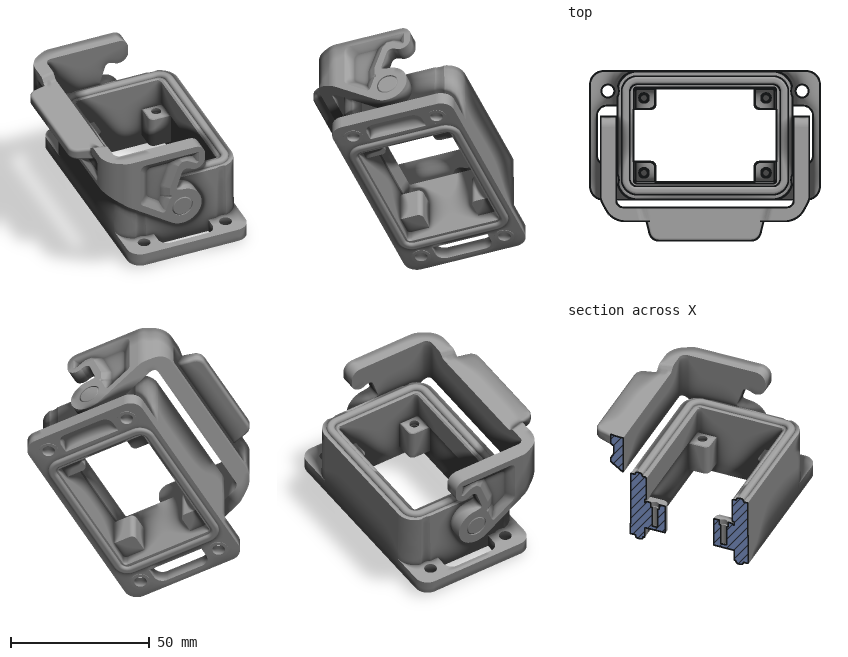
import cadquery as cq
import math

flange_length = 83.0
flange_width = 46.5
flange_thickness = 5.0
flange_corner_radius = 5.0
screw_x = 35.0
screw_y = 16.0
screw_hole_diameter = 4.6
screw_pad_diameter = 7.0
screw_pad_height = 0.15
screw_head_clearance_diameter = 8.0
slot_outer_x = 38.9
slot_width = 21.4
slot_corner_radius = 3.5

body_length = 63.4
body_height = 27.1
body_corner_radius = 7.2
draft_angle = 0.5

ring_height = 1.25
ring_width = 3.0
ring_corner_radius = 5.7
upper_ring_length = 60.2
upper_ring_width = 42.8
lower_ring_length = 59.6
lower_ring_width = 42.4
upper_ring_fillet = 1.2
lower_ring_fillet = 1.0

cavity_length = 51.4
neck_width = 33.5
neck_bottom_z = 17.0
mouth_width = 34.8
mouth_bevel_height = 0.5
cavity_width = 35.0
cavity_corner_radius = 1.2

post_x = 22.0
post_y = 13.5
post_inner_x = 17.8
post_inner_y = 9.4
post_bottom_z = 4.3
post_top_z = 16.3
post_corner_radius = 1.9
post_chamfer = 0.3
post_wall_chamfer = 0.8
post_hole_diameter = 2.7
post_hole_bottom_z = 6.0
post_counterbore_diameter = 3.6
post_counterbore_depth = 2.0

lever_half_width = 37.6
cheek_inner_x = 31.95
lever_top_z = 44.0
lever_front_y = -31.0
lever_wall_inner_y = -25.9
lever_wall_bottom_z = 30.0
lever_inner_corner_radius = 2.4
lever_plan_start_y = -21.9
lever_plan_small_radius = 5.9
lever_plan_large_radius = 8.0
lever_plan_facet_length = 2.45
lever_plan_facet_angle = math.radians(29)
pivot_y = -2.0
pivot_z = 19.0
pivot_boss_radius = 7.5
pin_radius = 4.0
pin_chamfer = 0.5
pin_root_depth = 2.0
hook_center_y = 3.0
hook_radius = 3.85
hook_bottom_z = 34.2

throat_start = (-3.6, 26.8)
throat_corner = (-4.2, 27.2)
throat_bottom = (-4.2, 28.0)
throat_top = (-2.2, 34.2)
catch_corner = (-1.4, 35.1)
catch_top = (-0.1, 35.3)
catch_end = (1.2, 34.9)
catch_lip = (2.0, 34.4)

cheek_pocket_depth = 2.0
cheek_pocket_slope_width = 3.1
cheek_pocket_top_z = 41.4
cheek_pocket_front_y = -18.45
cheek_pocket_nose_y = 4.4
cheek_pocket_corner_radius = 4.0
cheek_pocket_tip_radius = 1.5
front_pocket_depth = 1.25
front_pocket_length = 54.8
front_pocket_height = 8.8
front_pocket_center_z = 35.95
front_pocket_slope_width = 2.25
front_pocket_corner_radius = 1.3

tab_tip_y = -38.0
tab_top_z = 41.95
tab_root_bottom_z = 37.0
tab_tip_bottom_z = 37.9
tab_tip_half_width = 19.4
tab_side_slope = 0.25
tab_corner_radius = 3.6
tab_edge_fillet = 1.0
notch_flank_width = 2.2
notch_inset = 0.3
notch_fillet = 1.6


def rounded_block(length, width, radius, bottom, top):
    block = cq.Workplane("XY").workplane(offset=bottom).rect(length, width).extrude(top - bottom)
    return block.edges("|Z").fillet(radius)


def at_four_corners(x, y):
    return [(sx * x, sy * y) for sx in (-1, 1) for sy in (-1, 1)]


def cylinders(points, diameter, bottom, top):
    plane = cq.Workplane("XY").workplane(offset=bottom)
    return plane.pushPoints(points).circle(diameter / 2).extrude(top - bottom)


def make_flange():
    screws = at_four_corners(screw_x, screw_y)
    flange = rounded_block(flange_length, flange_width, flange_corner_radius, 0, flange_thickness)
    slot = rounded_block(2 * slot_outer_x, slot_width, slot_corner_radius, 0, flange_thickness)
    body_window_length = body_length - 2 * body_corner_radius
    body_window = cq.Workplane("XY").rect(body_window_length, flange_width).extrude(flange_thickness)
    flange = flange.cut(slot).cut(body_window)
    flange = flange.union(cylinders(screws, screw_pad_diameter, -screw_pad_height, flange_thickness))
    return flange.cut(cylinders(screws, screw_hole_diameter, -screw_pad_height, flange_thickness))


def make_body():
    outline = cq.Sketch().rect(body_length, flange_width).vertices().fillet(body_corner_radius)
    body = cq.Workplane("XY").placeSketch(outline).extrude(body_height, taper=draft_angle)
    screws = at_four_corners(screw_x, screw_y)
    return body.cut(cylinders(screws, screw_head_clearance_diameter, 0, body_height))


def make_ring(length, width, bottom):
    top = bottom + ring_height
    outer = rounded_block(length, width, ring_corner_radius, bottom, top)
    inner_radius = ring_corner_radius - ring_width
    inner = rounded_block(length - 2 * ring_width, width - 2 * ring_width, inner_radius, bottom, top)
    return outer.cut(inner)


def make_upper_ring():
    ring = make_ring(upper_ring_length, upper_ring_width, body_height)
    return ring.faces(">Z").edges().fillet(upper_ring_fillet)


def make_lower_ring():
    ring = make_ring(lower_ring_length, lower_ring_width, -ring_height)
    return ring.faces("<Z").edges().fillet(lower_ring_fillet)


def make_cavity():
    def section(width, height):
        sketch = cq.Sketch().rect(cavity_length, width).vertices().fillet(cavity_corner_radius)
        return sketch.moved(cq.Location(cq.Vector(0, 0, height)))

    lower = rounded_block(cavity_length, cavity_width, cavity_corner_radius, 0, neck_bottom_z)
    neck = rounded_block(cavity_length, neck_width, cavity_corner_radius, neck_bottom_z, body_height)
    bevel_start = section(neck_width, body_height - mouth_bevel_height)
    bevel_end = section(mouth_width, body_height)
    bevel = cq.Workplane("XY").placeSketch(bevel_start, bevel_end).loft()
    return lower.union(neck).union(bevel)


def make_post(side_x, side_y):
    outer_x = cavity_length / 2
    outer_y = cavity_width / 2
    height = post_top_z - post_bottom_z
    post = cq.Workplane("XY").box(outer_x - post_inner_x, outer_y - post_inner_y, height, centered=False)
    post = post.translate((post_inner_x, post_inner_y, post_bottom_z))
    post = post.edges("|Z and <X and <Y").fillet(post_corner_radius)
    post = post.edges("|Z and >X and >Y").fillet(cavity_corner_radius)
    post = post.faces(">Z").edges(">X or >Y").chamfer(post_wall_chamfer)
    post = post.faces(">Z").edges("<X or <Y").chamfer(post_chamfer)
    center = [(post_x, post_y)]
    post = post.cut(cylinders(center, post_hole_diameter, post_hole_bottom_z, post_top_z))
    counterbore_bottom = post_top_z - post_counterbore_depth
    post = post.cut(cylinders(center, post_counterbore_diameter, counterbore_bottom, post_top_z))
    if side_x < 0:
        post = post.mirror("YZ")
    if side_y < 0:
        post = post.mirror("XZ")
    return post


def along_x(start_x):
    return cq.Workplane("YZ", origin=(start_x, 0, 0))


def lever_side_profile():
    run = pivot_y - lever_front_y
    rise = lever_wall_bottom_z - pivot_z
    slope = math.atan2(rise, run) + math.asin(pivot_boss_radius / math.hypot(run, rise))
    tangent_y = pivot_y - pivot_boss_radius * math.sin(slope)
    tangent_z = pivot_z - pivot_boss_radius * math.cos(slope)
    boss_top_z = pivot_z + pivot_boss_radius

    nose_y = hook_center_y + hook_radius
    lower_center_z = hook_bottom_z + hook_radius
    upper_center_z = lever_top_z - hook_radius
    diagonal = hook_radius * math.sqrt(0.5)
    nose_mid_y = hook_center_y + diagonal
    return (
        along_x(-lever_half_width)
        .moveTo(lever_front_y, lever_top_z)
        .lineTo(lever_front_y, lever_wall_bottom_z)
        .lineTo(tangent_y, tangent_z)
        .threePointArc((pivot_y + pivot_boss_radius, pivot_z), (pivot_y, boss_top_z))
        .lineTo(*throat_start)
        .threePointArc(throat_corner, throat_bottom)
        .lineTo(*throat_top)
        .threePointArc(catch_corner, catch_top)
        .lineTo(*catch_end)
        .threePointArc(catch_lip, (hook_center_y, hook_bottom_z))
        .threePointArc((nose_mid_y, lower_center_z - diagonal), (nose_y, lower_center_z))
        .lineTo(nose_y, upper_center_z)
        .threePointArc((nose_mid_y, upper_center_z + diagonal), (hook_center_y, lever_top_z))
        .close()
        .extrude(2 * lever_half_width)
    )


def lever_plan_half(side):
    def along_arc(start, radius, start_angle, end_angle):
        x = start[0] - radius * (math.cos(start_angle) - math.cos(end_angle))
        y = start[1] - radius * (math.sin(end_angle) - math.sin(start_angle))
        return (x, y)

    facet = lever_plan_facet_angle
    quarter = math.pi / 2
    start = (lever_half_width, lever_plan_start_y)
    small_mid = along_arc(start, lever_plan_small_radius, 0, facet / 2)
    small_end = along_arc(start, lever_plan_small_radius, 0, facet)
    facet_end_x = small_end[0] - lever_plan_facet_length * math.sin(facet)
    facet_end_y = small_end[1] - lever_plan_facet_length * math.cos(facet)
    facet_end = (facet_end_x, facet_end_y)
    large_mid = along_arc(facet_end, lever_plan_large_radius, facet, (facet + quarter) / 2)
    large_end_x = along_arc(facet_end, lever_plan_large_radius, facet, quarter)[0]
    back_y = hook_center_y + 2 * hook_radius
    half = (
        cq.Workplane("XY")
        .moveTo(0, back_y)
        .lineTo(lever_half_width, back_y)
        .lineTo(*start)
        .threePointArc(small_mid, small_end)
        .lineTo(*facet_end)
        .threePointArc(large_mid, (large_end_x, lever_front_y))
        .lineTo(0, lever_front_y)
        .close()
        .extrude(lever_top_z)
    )
    return half if side > 0 else half.mirror("YZ")


def make_lever_shell():
    plan = lever_plan_half(1).union(lever_plan_half(-1))
    inner_depth = 2 * abs(lever_wall_inner_y)
    inner = cq.Workplane("XY").rect(2 * cheek_inner_x, inner_depth).extrude(lever_top_z)
    inner = inner.edges("|Z").fillet(lever_inner_corner_radius)
    return lever_side_profile().intersect(plan).cut(inner)


def pocket_wall(start, end):
    length = math.hypot(end[0] - start[0], end[1] - start[1])
    direction = cq.Vector(0, (end[0] - start[0]) / length, (end[1] - start[1]) / length)
    depthward = cq.Vector(1, 0, 0)
    inward = depthward.cross(direction)
    corner = cq.Vector(0, *start)
    plane = cq.Plane(origin=corner.toTuple(), xDir=inward.toTuple(), normal=direction.toTuple())
    floor = cheek_pocket_depth * plane.yDir.dot(depthward)
    section = [(0, 0), (cheek_pocket_slope_width, floor), (0, floor)]
    wedge = cq.Workplane(plane).polyline(section).close().extrude(length)
    cone = cq.Solid.makeCone(0, cheek_pocket_slope_width, cheek_pocket_depth, pnt=corner, dir=depthward)
    return wedge.union(cq.Workplane(cone))


def cheek_pocket(side):
    top = cheek_pocket_top_z
    front = cheek_pocket_front_y
    front_bottom = (front, 24.4)
    lower_tip = (-9.4, 18.0)
    outline = [
        (front, top),
        front_bottom,
        lower_tip,
        (-8.5, 19.0),
        (-7.0, 23.6),
        (-6.25, 24.1),
        (-6.3, 24.9),
        (-6.9, 25.2),
        (-6.9, 28.4),
        (-3.7, 37.3),
        (-2.2, 38.8),
        (-0.3, 38.8),
        (3.6, 36.5),
        (cheek_pocket_nose_y, 37.0),
        (cheek_pocket_nose_y, top),
    ]
    pocket = along_x(0).polyline(outline).close().extrude(cheek_pocket_depth)
    for start, end in zip(outline, outline[1:] + outline[:1]):
        pocket = pocket.cut(pocket_wall(start, end))

    half_slope = cheek_pocket_slope_width / 2
    rounded_corners = [
        ((front, top), (1, -1), cheek_pocket_corner_radius),
        (front_bottom, (1, 0.3), cheek_pocket_corner_radius),
        (lower_tip, (-0.35, 0.95), cheek_pocket_tip_radius),
    ]
    for (y, z), (step_y, step_z), radius in rounded_corners:
        near = (cheek_pocket_depth / 2, y + half_slope * step_y, z + half_slope * step_z)
        pocket = pocket.edges(cq.selectors.NearestToPointSelector(near)).fillet(radius)
    pocket = pocket.translate((-lever_half_width, 0, 0))
    return pocket if side < 0 else pocket.mirror("YZ")


def front_pocket():
    def outline(inset, depth):
        sketch = cq.Sketch().rect(front_pocket_length - 2 * inset, front_pocket_height - 2 * inset)
        sketch = sketch.vertices().fillet(front_pocket_corner_radius)
        return sketch.moved(cq.Location(cq.Vector(0, 0, -depth)))

    plane = cq.Workplane("XZ", origin=(0, lever_front_y, front_pocket_center_z))
    mouth = outline(0, 0)
    floor = outline(front_pocket_slope_width, front_pocket_depth)
    return plane.placeSketch(mouth, floor).loft()


def tab_half_width(y):
    return tab_tip_half_width + tab_side_slope * (y - tab_tip_y)


def notch_bottom_half_width(y):
    return tab_half_width(y) - notch_inset


def notch():
    def section(y):
        bottom = notch_bottom_half_width(y)
        top = bottom + notch_flank_width
        return [(-top, lever_top_z), (-bottom, tab_top_z), (bottom, tab_top_z), (top, lever_top_z)]

    plane = cq.Workplane("XZ", origin=(0, lever_wall_inner_y, 0))
    back = plane.polyline(section(lever_wall_inner_y)).close()
    wall = lever_wall_inner_y - lever_front_y
    return back.workplane(offset=wall).polyline(section(lever_front_y)).close().loft()


def round_notch(lever):
    middle_y = (lever_wall_inner_y + lever_front_y) / 2
    bottom = notch_bottom_half_width(middle_y)
    for half, height in ((bottom, tab_top_z), (bottom + notch_flank_width, lever_top_z)):
        for x in (-half, half):
            corner = cq.selectors.NearestToPointSelector((x, middle_y, height))
            lever = lever.edges(corner).fillet(notch_fillet)
    return lever


def make_tab():
    root_y = lever_front_y + front_pocket_depth
    root = tab_half_width(root_y)
    tip = tab_tip_half_width
    plan = (
        cq.Workplane("XY")
        .polyline([(-root, root_y), (-tip, tab_tip_y), (tip, tab_tip_y), (root, root_y)])
        .close()
        .extrude(lever_top_z)
        .edges("|Z and <Y")
        .fillet(tab_corner_radius)
    )
    side = (
        along_x(-root)
        .moveTo(root_y, tab_top_z)
        .lineTo(tab_tip_y, tab_top_z)
        .lineTo(tab_tip_y, tab_tip_bottom_z)
        .lineTo(root_y, tab_root_bottom_z)
        .close()
        .extrude(2 * root)
    )
    tab = plan.intersect(side)
    return tab.faces(">Z or <Z").edges("not(>Y)").fillet(tab_edge_fillet)


def make_pin(side):
    inner_x = body_length / 2 - pin_root_depth
    pin = along_x(inner_x).center(pivot_y, pivot_z).circle(pin_radius)
    pin = pin.extrude(lever_half_width - inner_x)
    pin = pin.faces(">X").chamfer(pin_chamfer)
    return pin if side > 0 else pin.mirror("YZ")


def make_lever():
    lever = round_notch(make_lever_shell().cut(notch()))
    lever = lever.cut(front_pocket()).union(make_tab())
    for side in (-1, 1):
        bore = along_x(cheek_inner_x).center(pivot_y, pivot_z).circle(pin_radius)
        bore = bore.extrude(lever_half_width - cheek_inner_x)
        lever = lever.cut(bore if side > 0 else bore.mirror("YZ"))
        lever = lever.cut(cheek_pocket(side)).union(make_pin(side))
    return lever


housing = make_flange().union(make_body()).union(make_lower_ring()).union(make_upper_ring())
housing = housing.cut(make_cavity())
for sign_x, sign_y in at_four_corners(1, 1):
    housing = housing.union(make_post(sign_x, sign_y))
result = housing.union(make_lever())